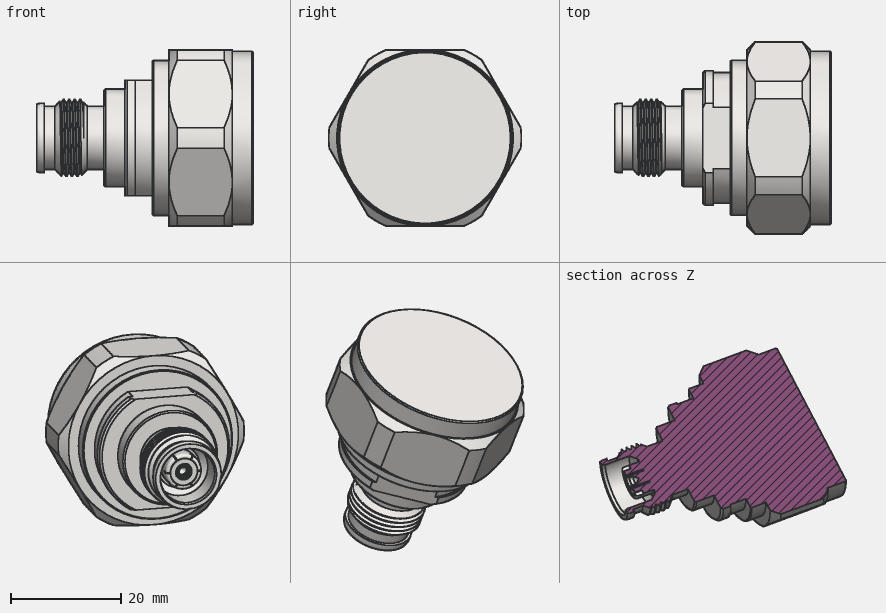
import cadquery as cq
import math


NECK_R = 5.75
LIP_R = 6.3
LIP_CHAMFER_LENGTH = 0.5
LIP_FACE_R = 6.15
LIP_END = 1.4
THREAD_R = 7.0
THREAD_DEPTH = 0.6
THREAD_PITCH = 1.0
THREAD_START = 3.3
THREAD_END = 9.2
THREAD_CREST_WIDTH = THREAD_PITCH / 8
THREAD_FLANK_ANGLE = 30.0
GROOVE_START = 3.88
GROOVE_TURNS = 4.75
GROOVE_OVERCUT = 0.05
BARREL_SEAM_ANGLE = 240.0

SHOULDER_START = 12.2
SHOULDER_R = 8.9
SHOULDER_CHAMFER = 0.3
WRENCH_START = 16.0
WRENCH_RIM_R = 12.25
WRENCH_RIM_END = 17.9
WRENCH_RIM_CHAMFER = 0.4
WRENCH_R = 11.9
WRENCH_FLATS = 21.0
FLANGE_START = 21.0
FLANGE_R = 14.1
FLANGE_CHAMFER = 0.2

NUT_START = 24.0
NUT_END = 35.5
NUT_FLATS = 32.0
NUT_CORNER_R = 17.5
NUT_CHAMFER = NUT_CORNER_R - NUT_FLATS / 2
COLLAR_R = 15.75
COLLAR_CHAMFER = 0.25
TOTAL_LENGTH = 39.3

MOUTH_R = 5.3
MOUTH_CHAMFER_LENGTH = 0.6
BORE_R = 5.1
FLOOR_R = 3.9
SOCKET_DEPTH = 6.5
CONTACT_FRONT = 3.0
CONTACT_R = 3.35
CONTACT_BORE_R = 2.55
CONTACT_EDGE_RADIUS = 0.55
CONTACT_SLOT_WIDTH = 0.12
CONTACT_SLOT_DEPTH = 1.5
CONTACT_SLOTS = 6
INSULATOR_RECESS = 0.1
PIN_GAP_R = 1.5
PIN_R = 1.25
PIN_MOUTH_R = 1.0
PIN_MOUTH_DEPTH = 0.5
PIN_HOLE_R = 0.8
PIN_HOLE_DEPTH = 2.0
PIN_HOLE_TIP = PIN_HOLE_R


def revolve_about_x(points):
    """Solid of revolution about X from (x, radius) points."""
    profile = cq.Workplane("XY").polyline(points).close()
    return profile.revolve(360, (0, 0, 0), (1, 0, 0))


def cylinder(start, end, radius):
    return cq.Workplane("YZ").workplane(offset=start).circle(radius).extrude(end - start)


def chamfered_disc(start, end, radius, chamfer):
    """Disc whose front edge is chamfered."""
    return cylinder(start, end, radius).faces("<X").chamfer(chamfer)


def socket_barrel():
    """Plain barrel, turned so its surface seam lies clear of both ends of the thread groove."""
    rise = THREAD_R - NECK_R
    barrel = revolve_about_x([
        (0, 0),
        (0, LIP_FACE_R),
        (LIP_CHAMFER_LENGTH, LIP_R),
        (LIP_END, LIP_R),
        (LIP_END, NECK_R),
        (THREAD_START, NECK_R),
        (THREAD_START + rise, THREAD_R),
        (THREAD_END - rise, THREAD_R),
        (THREAD_END, NECK_R),
        (SHOULDER_START, NECK_R),
        (SHOULDER_START, 0),
    ])
    return barrel.rotate((0, 0, 0), (1, 0, 0), BARREL_SEAM_ANGLE)


def thread_groove():
    """Right-handed helical V groove, starting on the -Z side."""
    slope = math.tan(math.radians(THREAD_FLANK_ANGLE))
    crest_half = (THREAD_PITCH - THREAD_CREST_WIDTH) / 2
    root_half = crest_half - THREAD_DEPTH * slope
    outer_half = crest_half + GROOVE_OVERCUT * slope
    root_r = THREAD_R - THREAD_DEPTH
    outer_r = THREAD_R + GROOVE_OVERCUT
    path = cq.Wire.makeHelix(THREAD_PITCH, THREAD_PITCH * GROOVE_TURNS, root_r)
    profile = cq.Workplane("XZ").polyline([
        (root_r, -root_half),
        (root_r, root_half),
        (outer_r, outer_half),
        (outer_r, -outer_half),
    ]).close()
    groove = profile.sweep(cq.Workplane(obj=path), isFrenet=True)
    groove = groove.rotate((0, 0, 0), (0, 1, 0), 90)
    return groove.translate((GROOVE_START, 0, 0))


def wrench_section():
    """Rimmed disc with two opposite flats facing +Z and -Z."""
    rim = chamfered_disc(WRENCH_START, WRENCH_RIM_END, WRENCH_RIM_R, WRENCH_RIM_CHAMFER)
    disc = rim.union(cylinder(WRENCH_RIM_END, FLANGE_START, WRENCH_R))
    length = FLANGE_START - WRENCH_START
    slab = cq.Workplane("XY").box(length, 2 * WRENCH_RIM_R, WRENCH_FLATS)
    return disc.intersect(slab.translate((WRENCH_START + length / 2, 0, 0)))


def coupling_nut():
    """Hexagon with flats facing +Z and -Z, its corners turned and chamfered at both ends."""
    hexagon = (
        cq.Workplane("YZ")
        .workplane(offset=NUT_START)
        .polygon(6, NUT_FLATS / math.cos(math.pi / 6))
        .extrude(NUT_END - NUT_START)
    )
    turned = cylinder(NUT_START, NUT_END, NUT_CORNER_R).faces("<X or >X").chamfer(NUT_CHAMFER)
    collar = cylinder(NUT_END, TOTAL_LENGTH, COLLAR_R).faces(">X").chamfer(COLLAR_CHAMFER)
    return hexagon.intersect(turned).union(collar)


def socket_cavity():
    return revolve_about_x([
        (0, 0),
        (0, MOUTH_R),
        (MOUTH_CHAMFER_LENGTH, BORE_R),
        (SOCKET_DEPTH - (BORE_R - FLOOR_R), BORE_R),
        (SOCKET_DEPTH, FLOOR_R),
        (SOCKET_DEPTH, 0),
    ])


def slotted_contact():
    """Round-edged ring contact standing on the socket floor, with narrow radial slots."""
    ring = cylinder(CONTACT_FRONT, SOCKET_DEPTH, CONTACT_R).faces("<X").edges().fillet(CONTACT_EDGE_RADIUS)
    ring = ring.cut(cylinder(CONTACT_FRONT, SOCKET_DEPTH, CONTACT_BORE_R))
    for index in range(CONTACT_SLOTS):
        slot = cq.Workplane("XY").box(
            CONTACT_SLOT_DEPTH, CONTACT_R, CONTACT_SLOT_WIDTH, centered=(False, False, True)
        )
        slot = slot.translate((CONTACT_FRONT, CONTACT_BORE_R, 0))
        ring = ring.cut(slot.rotate((0, 0, 0), (1, 0, 0), index * 360 / CONTACT_SLOTS))
    return ring


def insulator():
    """Sleeve filling the ring contact, set slightly back from its front and clear of the pin."""
    front = CONTACT_FRONT + INSULATOR_RECESS
    sleeve = cylinder(front, SOCKET_DEPTH, CONTACT_BORE_R)
    return sleeve.cut(cylinder(front, SOCKET_DEPTH, PIN_GAP_R))


def centre_pin():
    """Pin with a stepped, cone-ended hole in its front."""
    mouth_end = CONTACT_FRONT + PIN_MOUTH_DEPTH
    hole_end = CONTACT_FRONT + PIN_HOLE_DEPTH
    hole = revolve_about_x([
        (CONTACT_FRONT, 0),
        (CONTACT_FRONT, PIN_MOUTH_R),
        (mouth_end, PIN_MOUTH_R),
        (mouth_end, PIN_HOLE_R),
        (hole_end - PIN_HOLE_TIP, PIN_HOLE_R),
        (hole_end, 0),
    ])
    return cylinder(CONTACT_FRONT, SOCKET_DEPTH, PIN_R).cut(hole)


threaded_barrel = socket_barrel().cut(thread_groove()).cut(socket_cavity())
result = (
    threaded_barrel
    .union(chamfered_disc(SHOULDER_START, WRENCH_START, SHOULDER_R, SHOULDER_CHAMFER))
    .union(wrench_section())
    .union(chamfered_disc(FLANGE_START, NUT_START, FLANGE_R, FLANGE_CHAMFER))
    .union(coupling_nut())
    .union(slotted_contact())
    .union(insulator())
    .union(centre_pin())
)